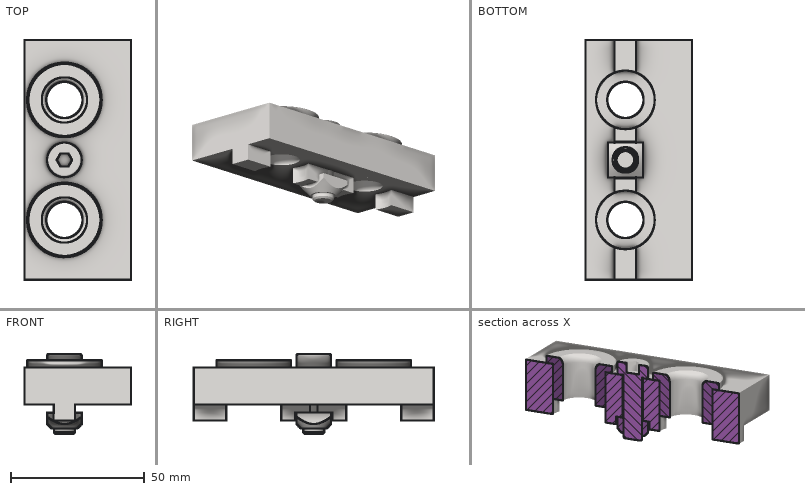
import cadquery as cq
import math


plate_width = 40.0
plate_length = 90.0
plate_thickness = 14.0
near_edge_offset = 15.0
key_width = 8.0
key_height = 6.0
nut_slot_width = 14.0
nut_slot_roof_z = -3.0
screw_clearance_diameter = 8.5

bushing_spacing = plate_length / 2
bushing_body_diameter = 22.0
bushing_flange_diameter = 28.0
bushing_flange_height = 2.8
bushing_chamfer_width = 0.5
bushing_chamfer_height = 0.25
bushing_bore_diameter = 13.5
bushing_mouth_diameter = 17.0
bushing_mouth_radius = 3.0

thread_diameter = 8.0
screw_tip_diameter = 6.65
screw_tip_z = -11.0
head_diameter = 13.0
head_height = 5.0
head_edge_radius = 0.8
hex_across_flats = 5.0
hex_depth = 3.8

nut_width = 13.0
nut_height = 6.0
nut_face_diameter = 9.6

bushing_positions = [(0, -bushing_spacing / 2), (0, bushing_spacing / 2)]


def make_base():
    """Plate with a lengthwise key below, bored for the bushings and the screw."""
    plate = cq.Workplane("XY").box(plate_width, plate_length, plate_thickness, centered=(False, True, False))
    plate = plate.translate((-near_edge_offset, 0, 0))
    key = (
        cq.Workplane("XY")
        .workplane(offset=-key_height)
        .rect(key_width, plate_length)
        .extrude(key_height)
    )
    nut_slot = (
        cq.Workplane("XY")
        .workplane(offset=-key_height)
        .rect(key_width, nut_slot_width)
        .extrude(key_height + nut_slot_roof_z)
    )
    base_height = key_height + plate_thickness
    bushing_holes = (
        cq.Workplane("XY")
        .workplane(offset=-key_height)
        .pushPoints(bushing_positions)
        .circle(bushing_body_diameter / 2)
        .extrude(base_height)
    )
    screw_hole = (
        cq.Workplane("XY")
        .workplane(offset=-key_height)
        .circle(screw_clearance_diameter / 2)
        .extrude(base_height)
    )
    return plate.union(key).cut(nut_slot).cut(bushing_holes).cut(screw_hole)


def make_bushing():
    """Flanged bushing with a rounded bore mouth, flush with the plate's underside."""
    top_z = plate_thickness + bushing_flange_height
    body_radius = bushing_body_diameter / 2
    flange_radius = bushing_flange_diameter / 2
    bore_radius = bushing_bore_diameter / 2
    mouth_edge_radius = bushing_mouth_diameter / 2
    mouth_width = mouth_edge_radius - bore_radius
    mouth_depth = math.sqrt(bushing_mouth_radius**2 - (bushing_mouth_radius - mouth_width) ** 2)
    mouth_start_z = top_z - mouth_depth
    half_profile = (
        cq.Workplane("XZ")
        .moveTo(bore_radius, 0)
        .lineTo(body_radius, 0)
        .lineTo(body_radius, plate_thickness)
        .lineTo(flange_radius, plate_thickness)
        .lineTo(flange_radius, top_z - bushing_chamfer_height)
        .lineTo(flange_radius - bushing_chamfer_width, top_z)
        .lineTo(mouth_edge_radius, top_z)
        .radiusArc((bore_radius, mouth_start_z), -bushing_mouth_radius)
        .close()
    )
    return half_profile.revolve(360, (0, 0, 0), (0, 1, 0))


def make_screw():
    """Low-head socket screw, seated on the plate, with a chamfered tip."""
    shank = (
        cq.Workplane("XY")
        .workplane(offset=screw_tip_z)
        .circle(thread_diameter / 2)
        .extrude(plate_thickness - screw_tip_z)
        .faces("<Z")
        .chamfer((thread_diameter - screw_tip_diameter) / 2)
    )
    head = (
        cq.Workplane("XY")
        .workplane(offset=plate_thickness)
        .circle(head_diameter / 2)
        .extrude(head_height)
        .faces(">Z")
        .edges()
        .fillet(head_edge_radius)
    )
    hex_across_corners = hex_across_flats / math.cos(math.pi / 6)
    socket = (
        cq.Workplane("XY")
        .workplane(offset=plate_thickness + head_height)
        .polygon(6, hex_across_corners)
        .extrude(-hex_depth)
    )
    return shank.union(head).cut(socket)


def make_nut():
    """Square nut with its lower corners bevelled by a 45 degree cone."""
    block = (
        cq.Workplane("XY")
        .workplane(offset=nut_slot_roof_z)
        .rect(nut_width, nut_width)
        .extrude(-nut_height)
    )
    face_radius = nut_face_diameter / 2
    bevel_cone = (
        cq.Workplane("XY")
        .workplane(offset=nut_slot_roof_z - nut_height)
        .circle(face_radius)
        .workplane(offset=nut_height)
        .circle(face_radius + nut_height)
        .loft(ruled=True)
    )
    thread_hole = (
        cq.Workplane("XY")
        .workplane(offset=nut_slot_roof_z)
        .circle(thread_diameter / 2)
        .extrude(-nut_height)
    )
    return block.intersect(bevel_cone).cut(thread_hole)


base = make_base()
bushings = [make_bushing().translate((x, y, 0)) for x, y in bushing_positions]
screw = make_screw()
nut = make_nut()

result = cq.Compound.makeCompound(
    [base.val(), *[bushing.val() for bushing in bushings], screw.val(), nut.val()]
)